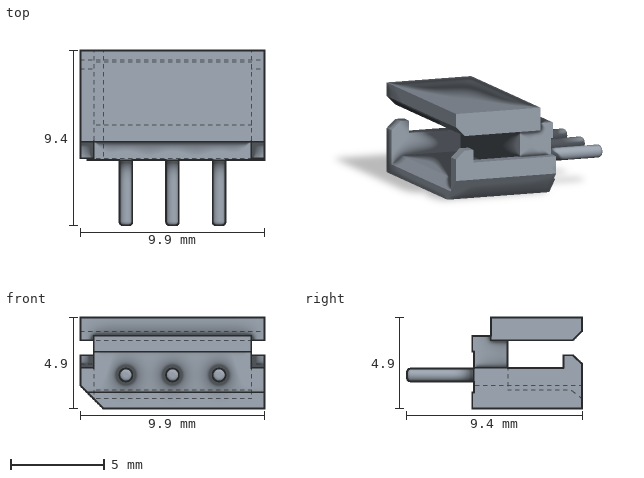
import cadquery as cq

width = 9.9
height = 4.9
depth = 5.9

cover_thickness = 1.24
cover_depth = 4.9

wall_top = 3.9
wall_back = 1.9

rail_width = 0.72
rail_top = 2.18
hook_top = 2.87
hook_length = 1.0
floor_thickness = 1.0
corner_chamfer = 1.24

lead_in_run = 0.5
floor_lead_in_run = 0.6
cover_lead_in_rise = 0.5
base_lead_in_rise = 0.46

recess_depth = 0.1
recess_bottom = 0.87
recess_top = 3.05

pin_count = 3
pin_pitch = 2.5
pin_diameter = 0.7
pin_projection = 3.5
pin_height = 1.8
pin_tip_fillet = 0.2

inner_width = width - 2 * rail_width


def extrude_profile(points, length):
    """Extrude a (Y, Z) outline along X, centred on X = 0."""
    return cq.Workplane("YZ").polyline(points).close().extrude(length / 2, both=True)


def make_cover():
    cover_bottom = height - cover_thickness
    return extrude_profile(
        [
            (depth - cover_depth, height),
            (depth, height),
            (depth, cover_bottom + cover_lead_in_rise),
            (depth - lead_in_run, cover_bottom),
            (depth - cover_depth, cover_bottom),
        ],
        width,
    )


def make_base():
    """Full-width rail and hook profile, hollowed between the rails, with one lower edge cut off."""
    base = extrude_profile(
        [
            (0, 0),
            (depth, 0),
            (depth, hook_top - base_lead_in_rise),
            (depth - lead_in_run, hook_top),
            (depth - hook_length, hook_top),
            (depth - hook_length, rail_top),
            (recess_depth, rail_top),
            (recess_depth, recess_bottom),
            (0, recess_bottom),
        ],
        width,
    )
    channel = extrude_profile(
        [
            (wall_back, floor_thickness),
            (depth - floor_lead_in_run, floor_thickness),
            (depth, floor_thickness - base_lead_in_rise),
            (depth, hook_top),
            (wall_back, hook_top),
        ],
        inner_width,
    )
    corner = (
        cq.Workplane("XZ", origin=(-width / 2, 0, 0))
        .polyline([(0, 0), (corner_chamfer, 0), (0, corner_chamfer)])
        .close()
        .extrude(-depth)
    )
    return base.cut(channel).cut(corner)


def make_wall():
    return extrude_profile(
        [
            (wall_back, floor_thickness),
            (wall_back, wall_top),
            (0, wall_top),
            (0, recess_top),
            (recess_depth, recess_top),
            (recess_depth, floor_thickness),
        ],
        inner_width,
    )


def make_pin(x):
    """Round pin from the channel side of the wall out to its rounded tip at -Y."""
    pin = (
        cq.Workplane("XZ", origin=(x, wall_back, pin_height))
        .circle(pin_diameter / 2)
        .extrude(wall_back + pin_projection)
    )
    return pin.faces("<Y").edges().fillet(pin_tip_fillet)


result = make_base().union(make_wall()).union(make_cover())
for index in range(pin_count):
    pin_x = (index - (pin_count - 1) / 2) * pin_pitch
    result = result.union(make_pin(pin_x))